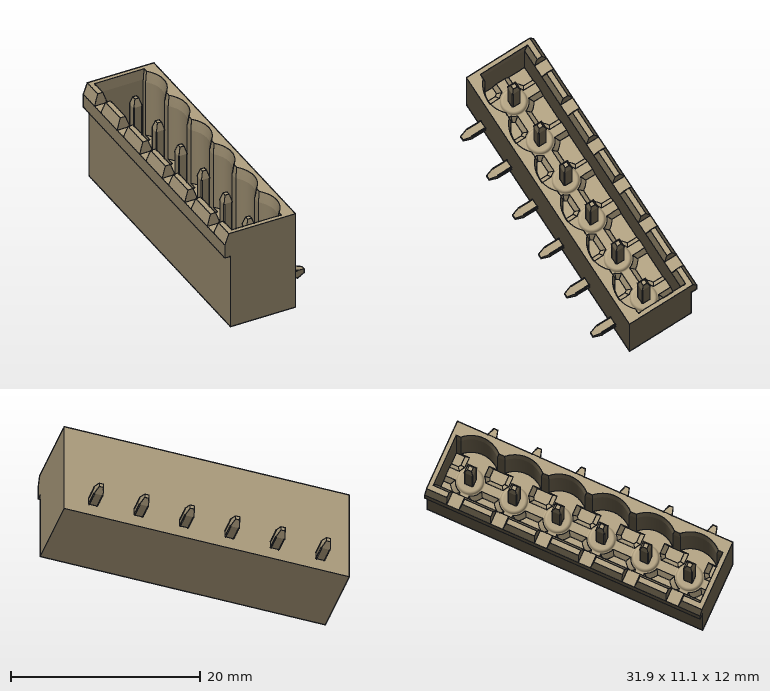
import cadquery as cq
import math

length = 31.88
height = 12.0
back_y = 8.45
body_front_y = 0.67
lip_height = 2.95
lip_bevel_depth = 0.48

lead_in_height = 1.3
lead_in_z = height - lead_in_height

end_wall = 0.6
end_wall_top = 0.5
front_wall_y = 1.53
front_wall_top_y = 1.08
back_wall_y = 6.85
back_wall_top_y = 7.0
floor_z = 3.4

pin_count = 6
end_margin = 3.25
pitch = (length - 2 * end_margin) / (pin_count - 1)
pin_xs = [end_margin - length / 2 + i * pitch for i in range(pin_count)]
pin_y = 4.55
pin_width = 1.02
pin_edge_chamfer = 0.1
pin_tip_width = 0.48
pin_tip_length = 0.95
pin_top_z = 10.78
tail_z = 2.0
tail_length = 2.65
tail_end_y = back_y + tail_length

scallop_y = 4.72
scallop_radius = 3.0
scallop_top_radius = 3.2

notch_floor_width = 1.4
notch_top_width = 1.8

ridge_height = 0.5
ridge_top_z = floor_z + ridge_height
ridge_half_width = 0.5
back_ridge_half_width = 1.15
boss_root_radius = 1.6
boss_waist_radius = 1.45
boss_rim_radius = 1.15
boss_flank_angle = 60


def tapered_block(low_x, low_y, low_z, top_x, top_y, top_z):
    """Solid between two level rectangles, each given by its X range and Y range."""

    def rectangle(x_range, y_range, z):
        left, right = x_range
        front, back = y_range
        corners = [(left, front), (right, front), (right, back), (left, back)]
        return cq.Wire.makePolygon([cq.Vector(x, y, z) for x, y in corners], close=True)

    low = rectangle(low_x, low_y, low_z)
    top = rectangle(top_x, top_y, top_z)
    return cq.Workplane(cq.Solid.makeLoft([low, top], True))


def block(x_range, y_range, z_range):
    """Box given by its X, Y and Z ranges."""
    size = [high - low for low, high in (x_range, y_range, z_range)]
    corner = (x_range[0], y_range[0], z_range[0])
    return cq.Workplane().box(*size, centered=False).translate(corner)


def housing_blank():
    """Solid housing with the bevelled lip along its front top edge."""
    side = [
        (body_front_y, 0),
        (back_y, 0),
        (back_y, height),
        (lip_bevel_depth, height),
        (0, lead_in_z),
        (0, height - lip_height),
        (body_front_y, height - lip_height),
    ]
    return cq.Workplane("YZ").polyline(side).close().extrude(length / 2, both=True)


cavity_x = (end_wall - length / 2, length / 2 - end_wall)
cavity_y = (front_wall_y, back_wall_y)


def cavity():
    """Straight cavity with a flared lead-in at the open top."""
    top_x = (end_wall_top - length / 2, length / 2 - end_wall_top)
    top_y = (front_wall_top_y, back_wall_top_y)
    lead_in = tapered_block(cavity_x, cavity_y, lead_in_z, top_x, top_y, height)
    return block(cavity_x, cavity_y, (floor_z, lead_in_z)).union(lead_in)


def scallop(x):
    """Rear part of a round well about a pin, flared at the top, with its floor level with the ridges."""
    profile = [
        (0, ridge_top_z),
        (scallop_radius, ridge_top_z),
        (scallop_radius, lead_in_z),
        (scallop_top_radius, height),
        (0, height),
    ]
    well = cq.Workplane("XZ").polyline(profile).close().revolve(360, (0, 0), (0, 1))
    well = well.translate((x, scallop_y, 0))
    own_share = block((x - pitch / 2, x + pitch / 2), (scallop_y, back_y), (0, height))
    return well.intersect(own_share)


def lip_notch(x):
    """Notch through the lip with sloping sides."""
    low_x = (x - notch_floor_width / 2, x + notch_floor_width / 2)
    top_x = (x - notch_top_width / 2, x + notch_top_width / 2)
    return tapered_block(low_x, (0, front_wall_y), lead_in_z, top_x, (0, front_wall_y), height)


def ridge_profile(plane, half_width):
    """Cross-section of a floor ridge with 45-degree sides."""
    foot = half_width + ridge_height
    points = [(-foot, 0), (foot, 0), (half_width, ridge_height), (-half_width, ridge_height)]
    return cq.Workplane(plane).polyline(points).close()


def long_ridge():
    """Ridge along the pin row, from end wall to end wall."""
    half_length = length / 2 - end_wall
    ridge = ridge_profile("YZ", ridge_half_width).extrude(half_length, both=True)
    return ridge.translate((0, pin_y, floor_z))


def front_ridge(x):
    """Ridge from the pin to the front wall."""
    ridge = ridge_profile("XZ", ridge_half_width).extrude(pin_y - front_wall_y)
    return ridge.translate((x, pin_y, floor_z))


def back_ridge(x):
    """Wider ridge from the pin to the back wall."""
    ridge = ridge_profile("XZ", back_ridge_half_width).extrude(pin_y - back_wall_y)
    return ridge.translate((x, pin_y, floor_z))


def boss(x):
    """Round boss with a conical foot and an S-shaped flank: a hollow root arc, then a rounded rim arc."""
    flank = math.radians(boss_flank_angle)
    root_fillet = (boss_root_radius - boss_waist_radius) / math.sin(flank)
    rim_fillet = (boss_waist_radius - boss_rim_radius) / math.sin(flank)
    waist_z = ridge_height + root_fillet * (1 - math.cos(flank))
    boss_top = waist_z + rim_fillet * (1 - math.cos(flank))
    profile = (
        cq.Workplane("XZ")
        .lineTo(boss_root_radius + ridge_height, 0)
        .lineTo(boss_root_radius, ridge_height)
        .radiusArc((boss_waist_radius, waist_z), root_fillet)
        .radiusArc((boss_rim_radius, boss_top), -rim_fillet)
        .lineTo(0, boss_top)
        .close()
    )
    return profile.revolve(360, (0, 0), (0, 1)).translate((x, pin_y, floor_z))


def straight_leg(leg_length):
    """Upright square bar on Z = 0 with chamfered edges and a full-width tapered square tip."""
    shaft_length = leg_length - pin_tip_length
    half = (-pin_width / 2, pin_width / 2)
    tip_half = (-pin_tip_width / 2, pin_tip_width / 2)
    shaft = block(half, half, (0, shaft_length)).edges("|Z").chamfer(pin_edge_chamfer)
    tip = tapered_block(half, half, shaft_length, tip_half, tip_half, leg_length)
    return shaft.union(tip)


def pin(x):
    """L-shaped pin: one leg up into the cavity, one tail out of the back."""
    bend_z = tail_z - pin_width / 2
    bend_y = pin_y - pin_width / 2
    contact = straight_leg(pin_top_z - bend_z).translate((x, pin_y, bend_z))
    tail = straight_leg(tail_end_y - bend_y).rotate((0, 0, 0), (1, 0, 0), -90)
    return contact.union(tail.translate((x, bend_y, tail_z)))


def group(parts):
    """Single-solid workplanes gathered into one compound."""
    return cq.Workplane(cq.Compound.makeCompound([part.solids().val() for part in parts]))


def floor_relief():
    """Ridges and bosses standing on the cavity floor."""
    front_ridges = group(front_ridge(x) for x in pin_xs)
    back_ridges = group(back_ridge(x) for x in pin_xs)
    bosses = group(boss(x) for x in pin_xs)
    return long_ridge().union(front_ridges).union(back_ridges).union(bosses)


pins = [pin(x) for x in pin_xs]

housing = (
    housing_blank()
    .cut(cavity())
    .cut(group(scallop(x) for x in pin_xs))
    .cut(group(lip_notch(x) for x in pin_xs))
    .union(floor_relief())
    .cut(group(pins))
)

bodies = [housing, *pins]
result = cq.Compound.makeCompound([body.solids().val() for body in bodies])